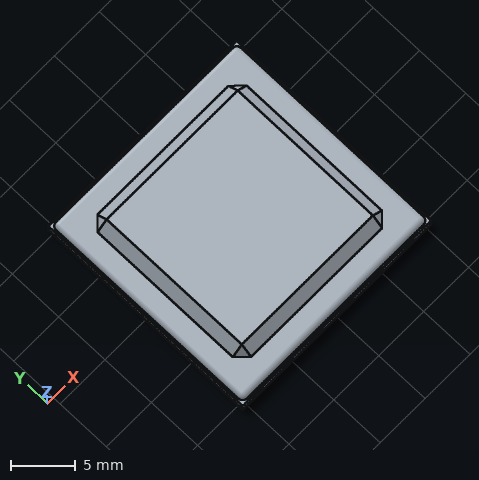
import cadquery as cq

package_side = 21.0
total_height = 2.5
lid_inset = 0.19
cap_inset = 2.2

lid_height = total_height / 5
substrate_height = 2 * lid_height
cap_height = 2 * lid_height

lid_side = package_side - 2 * lid_inset
lid_edge_radius = lid_height
cap_side = package_side - 2 * cap_inset
cap_chamfer = cap_height

lid_base_z = substrate_height
cap_base_z = lid_base_z + lid_height


def square_slab(side, height, base_z):
    """Square slab centred on the Z axis, standing on base_z."""
    return cq.Workplane("XY").box(side, side, height, centered=(True, True, False)).translate((0, 0, base_z))


def make_substrate():
    return square_slab(package_side, substrate_height, 0)


def make_lid():
    """Thin lid with quarter-round edges and ball corners."""
    rounded = (
        square_slab(lid_side, 2 * lid_height, lid_base_z - lid_height)
        .edges("|Z or >Z")
        .fillet(lid_edge_radius)
    )
    upper_half = square_slab(lid_side, lid_height, lid_base_z)
    return rounded.intersect(upper_half).solids()


def make_cap():
    """Raised cap with sloped sides and a triangular facet at each corner."""
    chamfered = (
        square_slab(cap_side, 2 * cap_height, cap_base_z - cap_height)
        .edges("|Z or >Z")
        .chamfer(cap_chamfer)
    )
    upper_half = square_slab(cap_side, cap_height, cap_base_z)
    return chamfered.intersect(upper_half).solids()


substrate = make_substrate()
lid = make_lid()
cap = make_cap()

result = cq.Compound.makeCompound([substrate.val(), lid.val(), cap.val()])